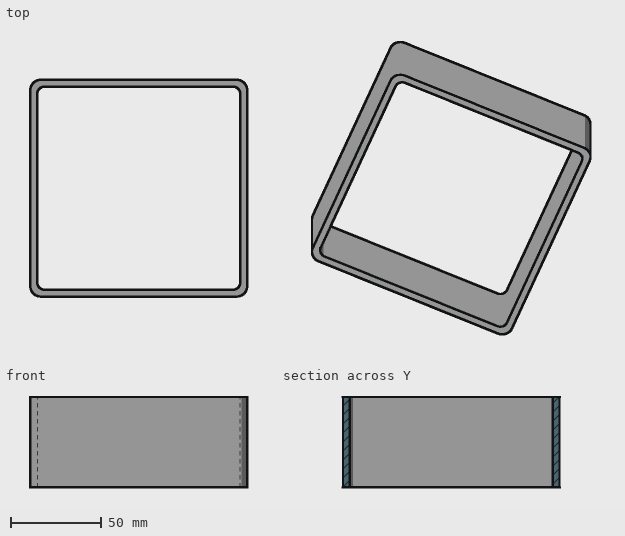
import cadquery as cq

side = 120.0
height = 50.0
wall = 4.0
outer_radius = 6.0
inner_radius = 4.0
inner_side = side - 2 * wall


def rounded_square_block(width, corner_radius):
    """Upright square block, centred on the origin, with rounded vertical edges."""
    return cq.Workplane("XY").box(width, width, height).edges("|Z").fillet(corner_radius)


outer_block = rounded_square_block(side, outer_radius)
opening = rounded_square_block(inner_side, inner_radius)

result = outer_block.cut(opening)